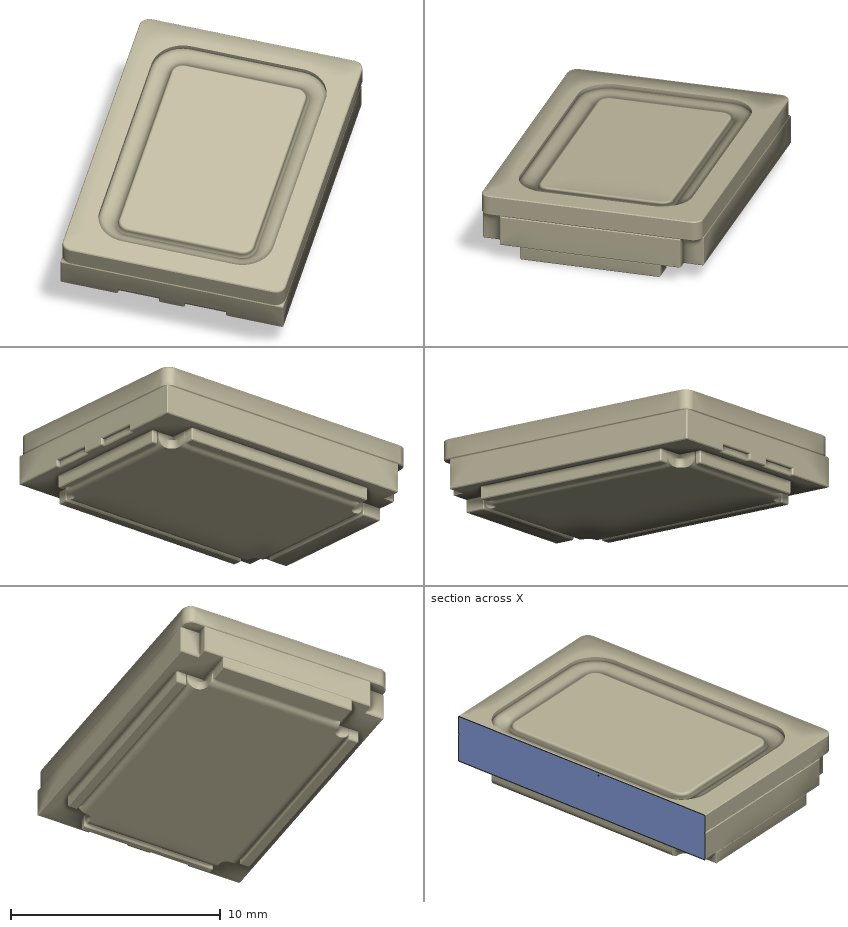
import cadquery as cq
import math

WIDTH = 11.0
LENGTH = 15.0
HEIGHT = 3.2

EDGE_CHAMFER = 0.05

LID_THICKNESS = 1.0
LID_CORNER_RADIUS = 0.5

RECESS_WIDTH = 8.6
RECESS_LENGTH = 12.63
RECESS_CORNER_RADIUS = 1.55
RECESS_DEPTH = 0.24
CHANNEL_WIDTH = 1.1
CHANNEL_DROP = 0.25
LIP_RADIUS = CHANNEL_DROP / 2

BODY_BOTTOM = -2.5
BODY_BACK = 6.93
BACK_BLOCK_WIDTH = 9.0

NOTCH_WIDTH = 2.04
NOTCH_HEIGHT = 0.33
NOTCH_DEPTH = 0.2
NOTCH_OFFSET = 1.65

COVER_WIDTH = 8.76
COVER_LENGTH = 12.72
SIDE_FLAP_LENGTH = 10.95
END_FLAP_WIDTH = 6.99
BEND_RADIUS = 0.45
RELIEF_RADIUS = 0.4

FOOT_BOTTOM = -3.14
SIDE_FOOT_INNER_X = 4.4
SIDE_FOOT_OUTER_X = 4.94
END_FOOT_INNER_Y = 6.42
FRONT_FOOT_OUTER_Y = 6.74


def box(x_range, y_range, z_range):
    """Box spanning the given (low, high) range on each axis."""
    corners = list(zip(x_range, y_range, z_range))
    sizes = [high - low for low, high in zip(*corners)]
    return cq.Workplane("XY").box(*sizes, centered=False).translate(corners[0])


def make_lid():
    lid = (
        cq.Workplane("XY")
        .rect(WIDTH, LENGTH)
        .extrude(-LID_THICKNESS)
        .edges("|Z")
        .fillet(LID_CORNER_RADIUS)
        .faces("<Z or >Z")
        .chamfer(EDGE_CHAMFER)
    )
    recess = (
        cq.Workplane("XY")
        .rect(RECESS_WIDTH, RECESS_LENGTH)
        .extrude(-RECESS_DEPTH)
        .edges("|Z")
        .fillet(RECESS_CORNER_RADIUS)
    )
    return lid.cut(recess).cut(make_channel())


def make_channel():
    """Ring below the recess floor: an S-shaped lip, then an arc rising to the recess wall."""
    plateau_width = RECESS_WIDTH - 2 * CHANNEL_WIDTH
    plateau_length = RECESS_LENGTH - 2 * CHANNEL_WIDTH
    plateau = (
        cq.Workplane("XY", origin=(0, 0, -RECESS_DEPTH))
        .rect(plateau_width, plateau_length)
        .extrude(RECESS_DEPTH)
        .edges("|Z")
        .fillet(RECESS_CORNER_RADIUS - CHANNEL_WIDTH)
    )
    plateau_outline = plateau.faces("<Z").wires()

    quarter = math.sqrt(0.5) * LIP_RADIUS
    lip_end = 2 * LIP_RADIUS
    rise_width = CHANNEL_WIDTH - lip_end
    rise_radius = (rise_width**2 + CHANNEL_DROP**2) / (2 * CHANNEL_DROP)
    half_angle = math.atan2(CHANNEL_DROP, rise_width)
    rise_middle = (
        CHANNEL_WIDTH - rise_radius * math.sin(half_angle),
        rise_radius * (math.cos(half_angle) - 1),
    )
    profile = (
        cq.Workplane("XZ", origin=(plateau_width / 2, 0, -RECESS_DEPTH))
        .threePointArc((quarter, quarter - LIP_RADIUS), (LIP_RADIUS, -LIP_RADIUS))
        .threePointArc((lip_end - quarter, -LIP_RADIUS - quarter), (lip_end, -CHANNEL_DROP))
        .threePointArc(rise_middle, (CHANNEL_WIDTH, 0))
        .close()
    )
    return profile.sweep(plateau_outline)


def make_body():
    body = box((-WIDTH / 2, WIDTH / 2), (-LENGTH / 2, BODY_BACK), (BODY_BOTTOM, -LID_THICKNESS))
    for center in (-NOTCH_OFFSET, NOTCH_OFFSET):
        notch = box(
            (center - NOTCH_WIDTH / 2, center + NOTCH_WIDTH / 2),
            (-LENGTH / 2, -LENGTH / 2 + NOTCH_DEPTH),
            (BODY_BOTTOM, BODY_BOTTOM + NOTCH_HEIGHT),
        )
        body = body.cut(notch)
    body = body.faces("<X or >X or <Y or >Y or <Z or >Z").edges().chamfer(EDGE_CHAMFER)
    back_block = box(
        (-BACK_BLOCK_WIDTH / 2, BACK_BLOCK_WIDTH / 2),
        (0, LENGTH / 2),
        (BODY_BOTTOM, -LID_THICKNESS),
    )
    return body.union(back_block.edges(">Y").chamfer(EDGE_CHAMFER))


def bent_plate(size_x, size_y, bend_direction):
    """Block under the body with the two lower edges along bend_direction rounded."""
    plate = cq.Workplane("XY", origin=(0, 0, -HEIGHT)).rect(size_x, size_y)
    return plate.extrude(HEIGHT + BODY_BOTTOM).faces("<Z").edges(bend_direction).fillet(BEND_RADIUS)


def make_cover():
    cover = bent_plate(COVER_WIDTH, SIDE_FLAP_LENGTH, "|Y")
    cover = cover.union(bent_plate(END_FLAP_WIDTH, COVER_LENGTH, "|X"))
    for side_x in (-1, 1):
        for side_y in (-1, 1):
            cover = cover.union(make_relief(side_x, side_y))
    return cover


def make_relief(side_x, side_y):
    """Concave web filling the inner corner between two flaps, as thick as the bend."""
    corner = (side_x * END_FLAP_WIDTH / 2, side_y * SIDE_FLAP_LENGTH / 2)
    arc_center = (corner[0] + side_x * RELIEF_RADIUS, corner[1] + side_y * RELIEF_RADIUS)
    web = box(
        sorted((corner[0], arc_center[0])),
        sorted((corner[1], arc_center[1])),
        (-HEIGHT, -HEIGHT + BEND_RADIUS),
    )
    hollow = cq.Workplane("XY", origin=(*arc_center, -HEIGHT)).circle(RELIEF_RADIUS).extrude(BEND_RADIUS)
    return web.cut(hollow)


def make_feet():
    side_y_range = (-SIDE_FLAP_LENGTH / 2, SIDE_FLAP_LENGTH / 2)
    end_x_range = (-END_FLAP_WIDTH / 2, END_FLAP_WIDTH / 2)
    footprints = (
        ((-SIDE_FOOT_OUTER_X, -SIDE_FOOT_INNER_X), side_y_range),
        ((SIDE_FOOT_INNER_X, SIDE_FOOT_OUTER_X), side_y_range),
        (end_x_range, (-FRONT_FOOT_OUTER_Y, -END_FOOT_INNER_Y)),
        (end_x_range, (END_FOOT_INNER_Y, LENGTH / 2)),
    )
    feet = cq.Workplane("XY")
    for x_range, y_range in footprints:
        foot = box(x_range, y_range, (FOOT_BOTTOM, BODY_BOTTOM))
        feet = feet.union(foot.edges("|Z or <Z").chamfer(EDGE_CHAMFER))
    return feet


result = make_lid().union(make_body()).union(make_cover()).union(make_feet())